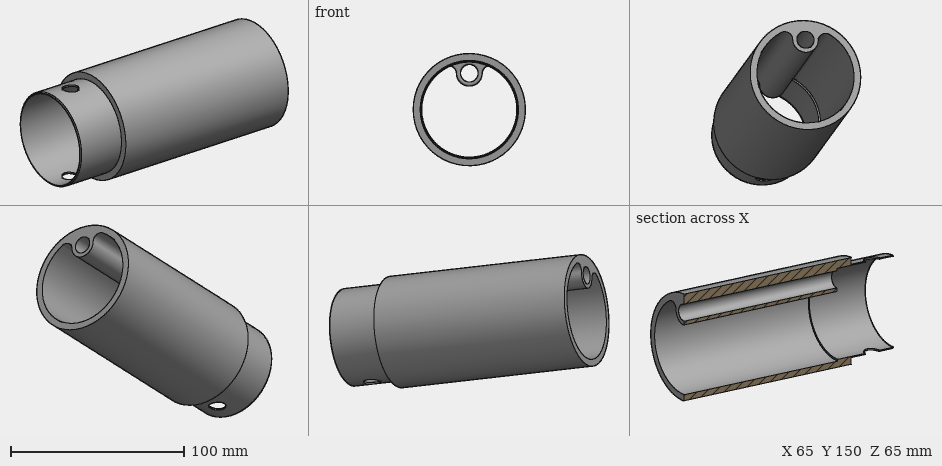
import cadquery as cq
import math

total_length = 150.0
body_diameter = 65.0
spigot_diameter = 56.8
spigot_length = 30.0
spigot_chamfer = 0.6

narrow_bore_diameter = 54.9
wide_bore_diameter = 57.0
wide_bore_start = 40.0
wide_bore_length = total_length - wide_bore_start

pin_hole_diameter = 10.0
pin_hole_y = spigot_length / 2

conduit_bore_diameter = 10.0
conduit_diameter = 15.0
conduit_z = 21.0
conduit_blend_radius = 4.5
conduit_lip_radius = 1.0
conduit_root_depth = 3.0

body_radius = body_diameter / 2
wide_bore_radius = wide_bore_diameter / 2
conduit_radius = conduit_diameter / 2
root_radius = wide_bore_radius + conduit_root_depth


def rod(diameter, start, length, z=0.0):
    """Cylinder along +Y, starting at the given Y and centred at the given height."""
    plane = cq.Plane(origin=(0, start, z), xDir=(-1, 0, 0), normal=(0, 1, 0))
    return cq.Workplane(plane).circle(diameter / 2).extrude(length)


def tube():
    """Body and chamfered spigot with the stepped bore."""
    spigot = rod(spigot_diameter, 0, total_length).faces("<Y").chamfer(spigot_chamfer)
    body = rod(body_diameter, spigot_length, total_length - spigot_length)
    narrow_bore = rod(narrow_bore_diameter, 0, total_length)
    wide_bore = rod(wide_bore_diameter, wide_bore_start, wide_bore_length)
    return spigot.union(body).cut(narrow_bore).cut(wide_bore)


def conduit():
    """Solid conduit, blended into the bore by an arc on each side and rooted in the wall."""
    to_wall = wide_bore_radius - conduit_blend_radius
    to_conduit = conduit_radius + conduit_blend_radius
    blend_z = (to_wall**2 - to_conduit**2 + conduit_z**2) / (2 * conduit_z)
    blend_x = math.sqrt(to_wall**2 - blend_z**2)

    wall_angle = math.atan2(blend_z, blend_x)
    conduit_angle = math.pi + math.atan2(blend_z - conduit_z, blend_x)
    middle_angle = (wall_angle + conduit_angle) / 2

    def on_blend(angle):
        return (
            blend_x + conduit_blend_radius * math.cos(angle),
            blend_z + conduit_blend_radius * math.sin(angle),
        )

    def mirrored(point):
        return (-point[0], point[1])

    wall_touch = on_blend(wall_angle)
    blend_middle = on_blend(middle_angle)
    conduit_touch = on_blend(conduit_angle)
    root_corner = (root_radius * math.cos(wall_angle), root_radius * math.sin(wall_angle))
    root_top = (0, root_radius)

    plane = cq.Plane(origin=(0, wide_bore_start, 0), xDir=(-1, 0, 0), normal=(0, 1, 0))
    return (
        cq.Workplane(plane)
        .moveTo(*root_corner)
        .lineTo(*wall_touch)
        .threePointArc(blend_middle, conduit_touch)
        .threePointArc((0, conduit_z - conduit_radius), mirrored(conduit_touch))
        .threePointArc(mirrored(blend_middle), mirrored(wall_touch))
        .lineTo(*mirrored(root_corner))
        .threePointArc(root_top, root_corner)
        .close()
        .extrude(wide_bore_length)
    )


def lipped_conduit():
    """Conduit with its bore; the end facing the spigot is rounded inside and outside."""
    bore = rod(conduit_bore_diameter, wide_bore_start, wide_bore_length, conduit_z)
    inside_bore = cq.selectors.BoxSelector(
        (-body_radius, wide_bore_start - conduit_lip_radius, 0),
        (body_radius, wide_bore_start + conduit_lip_radius, wide_bore_radius),
    )
    return conduit().cut(bore).faces("<Y").edges(inside_bore).fillet(conduit_lip_radius)


def pin_hole():
    """Cutter for the cross hole through the spigot."""
    return (
        cq.Workplane("XY")
        .center(0, pin_hole_y)
        .circle(pin_hole_diameter / 2)
        .extrude(body_radius, both=True)
    )


result = tube().union(lipped_conduit()).cut(pin_hole())